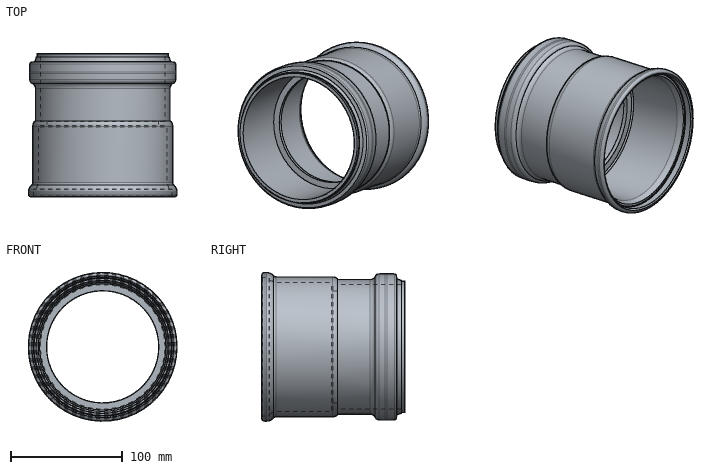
import cadquery as cq
import math

length = 128.0
bead_radius = 133 / 2

socket_radius = 125.3 / 2
bead_flat_start = 2.8
bead_flat_end = 4.5
bead_back = 10.8
bead_foot_radius = 63.3
mouth_edge_radius = 64.1
bead_fillet_end = 12.9

tube_radius = 120.5 / 2
shoulder_start = 63.2
shoulder_end = 67.8
shoulder_foot_radius = 60.8

collar_radius = 131.0 / 2
collar_fillet_start = length - 31.1
collar_blend = length - 26.7
collar_blend_radius = 62.4
collar_shoulder_radius = 65.3
collar_front_shoulder = length - 23.1
collar_crown_start = length - 17.8
collar_crown_end = length - 16.1
collar_rear_shoulder = length - 9.3
collar_back = length - 7.6
collar_back_radius = 64.2
cone_start = length - 7.0
cone_start_radius = 60.8
cone_end = length - 3.0
cone_end_radius = 59.5
rim_radius = 117.5 / 2

mouth_radius = 63.3
mouth_lip_depth = 0.9
recess_radius = 124.0 / 2
recess_depth = 7.0
recess_corner_radius = 61.3
recess_corner = 0.4
lead_in_radius = 59.5
lead_in_depth = 12.8
socket_bore_radius = 115.3 / 2
stop_face = 63.8
stop_corner_radius = 56.4
stop_corner_depth = stop_face - 1.3
stop_bore_radius = 100.0 / 2
stop_thickness = 3.7
rear_bore_radius = 111.2 / 2


def rounded_to(outline, tangent_end, steep_end, target):
    """Add an arc from the current point to target, running parallel to the axis at tangent_end."""
    rise = tangent_end[0] - steep_end[0]
    run = steep_end[1] - tangent_end[1]
    arc_radius = (rise**2 + run**2) / (2 * abs(rise))
    half_sweep = math.asin(abs(run) / arc_radius) / 2
    middle_radius = tangent_end[0] - math.copysign(arc_radius * (1 - math.cos(half_sweep)), rise)
    middle_y = tangent_end[1] + math.copysign(arc_radius * math.sin(half_sweep), run)
    return outline.threePointArc((middle_radius, middle_y), target)


def add_outer_outline(outline):
    """Outside from the front mouth to the rear rim; points are (radius, y)."""
    mouth_edge = (mouth_edge_radius, 0)
    bead_front = (bead_radius, bead_flat_start)
    bead_rear = (bead_radius, bead_flat_end)
    bead_foot = (bead_foot_radius, bead_back)
    outline = outline.lineTo(*mouth_edge)
    outline = rounded_to(outline, bead_front, mouth_edge, bead_front)
    outline = outline.lineTo(*bead_rear)
    outline = rounded_to(outline, bead_rear, bead_foot, bead_foot)
    bead_fillet = (socket_radius, bead_fillet_end)
    outline = rounded_to(outline, bead_fillet, bead_foot, bead_fillet)

    shoulder_top = (socket_radius, shoulder_start)
    shoulder_foot = (shoulder_foot_radius, shoulder_end)
    outline = outline.lineTo(*shoulder_top)
    outline = rounded_to(outline, shoulder_top, shoulder_foot, shoulder_foot)
    outline = outline.lineTo(tube_radius, shoulder_end)

    collar_foot = (tube_radius, collar_fillet_start)
    blend = (collar_blend_radius, collar_blend)
    collar_front = (collar_shoulder_radius, collar_front_shoulder)
    crown_front = (collar_radius, collar_crown_start)
    crown_rear = (collar_radius, collar_crown_end)
    collar_rear = (collar_shoulder_radius, collar_rear_shoulder)
    collar_edge = (collar_back_radius, collar_back)
    outline = outline.lineTo(*collar_foot)
    outline = rounded_to(outline, collar_foot, blend, blend)
    outline = rounded_to(outline, collar_front, blend, collar_front)
    outline = rounded_to(outline, crown_front, collar_front, crown_front)
    outline = outline.lineTo(*crown_rear)
    outline = rounded_to(outline, crown_rear, collar_rear, collar_rear)
    outline = rounded_to(outline, collar_rear, collar_edge, collar_edge)
    return (
        outline.lineTo(cone_start_radius, cone_start)
        .lineTo(cone_end_radius, cone_end)
        .lineTo(rim_radius, cone_end)
        .lineTo(rim_radius, length)
    )


def add_inner_outline(outline):
    """Inside from the rear end back to the front mouth, closing the section."""
    return (
        outline.lineTo(rear_bore_radius, length)
        .lineTo(rear_bore_radius, stop_face + stop_thickness)
        .lineTo(stop_bore_radius, stop_face + stop_thickness)
        .lineTo(stop_bore_radius, stop_face)
        .lineTo(stop_corner_radius, stop_face)
        .lineTo(socket_bore_radius, stop_corner_depth)
        .lineTo(socket_bore_radius, lead_in_depth)
        .lineTo(lead_in_radius, recess_depth)
        .lineTo(recess_corner_radius, recess_depth)
        .lineTo(recess_radius, recess_depth - recess_corner)
        .lineTo(recess_radius, mouth_lip_depth)
        .close()
    )


section = cq.Workplane("XY").moveTo(mouth_radius, 0)
section = add_outer_outline(section)
section = add_inner_outline(section)
result = section.revolve(360, (0, 0, 0), (0, 1, 0))